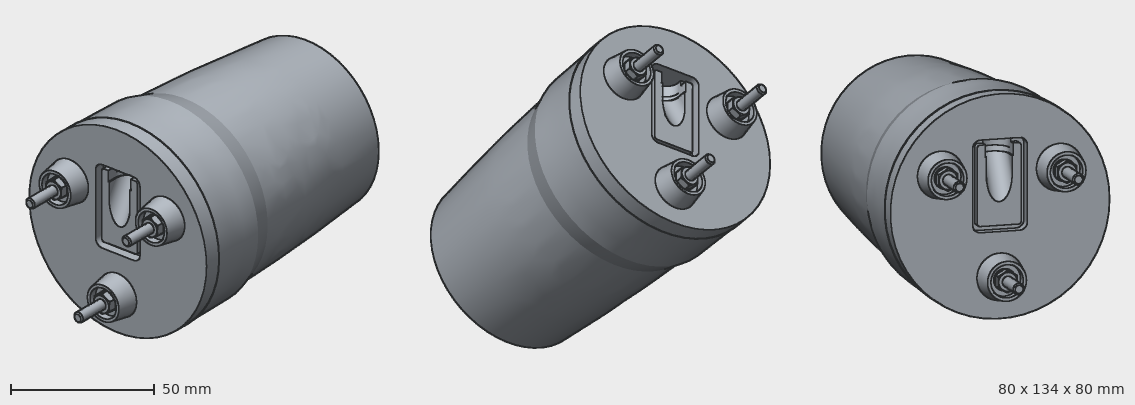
import cadquery as cq
import math


outer_diameter = 80.0
flange_radius = outer_diameter / 2
flange_height = 7.0
skirt_bottom_radius = 39.8
skirt_top_radius = 39.4
skirt_top_height = 29.0
lens_bottom_radius = 37.3
lens_bottom_height = 36.7
lens_middle_radius = 35.5
lens_top_radius = 32.7
lens_top_height = 103.0
total_length = 134
stud_reach = 22.0
dome_height = total_length - stud_reach

terminal_count = 3
terminal_circle_radius = 25.0
boss_base_radius = 8.5
boss_tip_radius = 7.1
boss_height = 8
recess_radius = 5.9
nut_reach = 9.0
nut_height = 3.2
nut_seat = nut_reach - nut_height
washer_radius = 3.9
washer_thickness = 0.8
recess_floor = nut_seat - washer_thickness
nut_width = 7.0
nut_turn = 30
nut_corner_radius = nut_width / math.sqrt(3)
nut_face_radius = 3.4
nut_chamfer_angle = 30
nut_chamfer_height = (nut_corner_radius - nut_face_radius) * math.tan(math.radians(nut_chamfer_angle))
stud_radius = 2.0
stud_chamfer = 0.5

groove_length = 33.0
groove_side = 20.0
groove_top = 24.0
groove_center_z = groove_top - groove_length / 2
groove_width = 2.0
groove_corner_radius = 3.0
groove_depth = 4
island_sink = 1.0

channel_start_z = 1.5
channel_bend_start_z = 17.5
channel_bend_end_z = 19.5
channel_slant = 30
slanted_channel_radius = 4.7
upright_channel_radius = 5.1
channel_reach = 53.6


def make_housing():
    """Flange, drafted skirt, bevel, bulging lens and domed end as one turned solid."""
    dome_rise = dome_height - lens_top_height
    dome_sphere_radius = (lens_top_radius**2 + dome_rise**2) / (2 * dome_rise)
    dome_mid_radius = lens_top_radius / 2
    dome_mid_drop = dome_sphere_radius - math.sqrt(dome_sphere_radius**2 - dome_mid_radius**2)
    lens_middle_height = (lens_bottom_height + lens_top_height) / 2
    return (
        cq.Workplane("XY")
        .moveTo(0, 0)
        .lineTo(flange_radius, 0)
        .lineTo(flange_radius, flange_height)
        .lineTo(skirt_bottom_radius, flange_height)
        .lineTo(skirt_top_radius, skirt_top_height)
        .lineTo(lens_bottom_radius, lens_bottom_height)
        .threePointArc((lens_middle_radius, lens_middle_height), (lens_top_radius, lens_top_height))
        .threePointArc((dome_mid_radius, dome_height - dome_mid_drop), (0, dome_height))
        .close()
        .revolve(360, (0, 0), (0, 1))
    )


def turned(points):
    """Solid turned about the Y axis from (radius, y) points."""
    return cq.Workplane("XY").polyline(points).close().revolve(360, (0, 0), (0, 1))


def make_terminal():
    """Tapered boss with a recessed washer and hexagon nut and a chamfered stud, centred on the Y axis."""
    boss = turned([
        (0, 0),
        (boss_base_radius, 0),
        (boss_tip_radius, -boss_height),
        (recess_radius, -boss_height),
        (recess_radius, -recess_floor),
        (0, -recess_floor),
    ])
    washer = cq.Workplane("XZ", origin=(0, -recess_floor, 0)).circle(washer_radius).extrude(washer_thickness)
    nut_blank = (
        cq.Workplane("XZ", origin=(0, -nut_seat, 0))
        .polygon(6, 2 * nut_corner_radius)
        .extrude(nut_height)
        .rotate((0, 0, 0), (0, 1, 0), nut_turn)
    )
    nut_envelope = turned([
        (0, -nut_seat),
        (nut_corner_radius, -nut_seat),
        (nut_corner_radius, nut_chamfer_height - nut_reach),
        (nut_face_radius, -nut_reach),
        (0, -nut_reach),
    ])
    stud = turned([
        (0, -recess_floor),
        (stud_radius, -recess_floor),
        (stud_radius, stud_chamfer - stud_reach),
        (stud_radius - stud_chamfer, -stud_reach),
        (0, -stud_reach),
    ])
    nut = nut_blank.intersect(nut_envelope)
    return boss.union(washer).union(nut).union(stud)


def groove_block(inset, depth):
    """Rounded block from the mounting face inward, inset from the outer edge of the groove."""
    return (
        cq.Workplane("XZ", origin=(0, 0, groove_center_z))
        .rect(groove_side - 2 * inset, groove_length - 2 * inset)
        .extrude(-depth)
        .edges("|Y")
        .fillet(groove_corner_radius - inset)
    )


def make_groove():
    """Material removed around and in front of the island."""
    island = groove_block(groove_width, groove_depth).translate((0, island_sink, 0))
    return groove_block(0, groove_depth).cut(island)


def channel_segment(radius, slant, start_y, start_z, end_z):
    """U-shaped cutter open to -Y, its back leaning by slant from (start_y, start_z) up to end_z."""
    slanted = (
        cq.Workplane("XY", origin=(0, 0, -channel_reach))
        .moveTo(-radius, -channel_reach)
        .lineTo(-radius, -radius)
        .threePointArc((0, 0), (radius, -radius))
        .lineTo(radius, -channel_reach)
        .close()
        .extrude(2 * channel_reach)
        .rotate((0, 0, 0), (1, 0, 0), -slant)
        .translate((0, start_y, start_z))
    )
    height = end_z - start_z
    slab = (
        cq.Workplane("XY", origin=(0, 0, start_z))
        .rect(2 * channel_reach, 2 * channel_reach)
        .extrude(height)
    )
    end_y = start_y + height * math.tan(math.radians(slant))
    return slanted.intersect(slab), end_y


result = make_housing()
result = result.cut(make_groove())

channel_segments = [
    (slanted_channel_radius, channel_slant, channel_start_z, channel_bend_start_z),
    (upright_channel_radius, channel_slant / 2, channel_bend_start_z, channel_bend_end_z),
    (upright_channel_radius, 0, channel_bend_end_z, groove_top),
]
back_y = island_sink
for segment_radius, segment_slant, bottom_z, top_z in channel_segments:
    segment, back_y = channel_segment(segment_radius, segment_slant, back_y, bottom_z, top_z)
    result = result.cut(segment)

for index in range(terminal_count):
    angle = math.radians(-90 + index * 360 / terminal_count)
    x = terminal_circle_radius * math.cos(angle)
    z = terminal_circle_radius * math.sin(angle)
    result = result.union(make_terminal().translate((x, 0, z)))